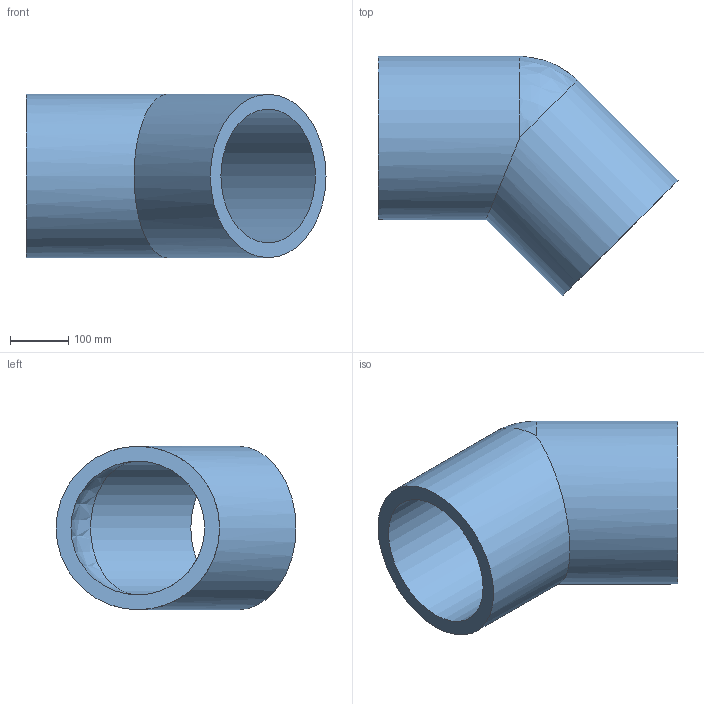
import cadquery as cq
import math

OUTER_DIAMETER = 280.0
DIAMETER_TO_WALL_RATIO = 11.0
LEG_LENGTH = 243.0
BEND_ANGLE = 45.0

outer_radius = OUTER_DIAMETER / 2
wall = OUTER_DIAMETER / DIAMETER_TO_WALL_RATIO
inner_radius = outer_radius - wall

bend = math.radians(BEND_ANGLE)
outlet_direction = cq.Vector(math.cos(bend), -math.sin(bend), 0)
inlet_direction = cq.Vector(-1, 0, 0)
joint = cq.Vector(0, 0, 0)


def leg(radius, direction):
    """Straight round leg running from the joint to its open end."""
    return cq.Workplane(cq.Solid.makeCylinder(radius, LEG_LENGTH, joint, direction))


def joint_wedge(radius):
    """Spherical wedge that closes the gap on the outside of the bend."""
    half_disc = (
        cq.Workplane("YZ")
        .moveTo(0, -radius)
        .threePointArc((radius, 0), (0, radius))
        .close()
    )
    return half_disc.revolve(BEND_ANGLE, (0, 1, 0), (0, -1, 0))


def bent_rod(radius):
    """Solid bent rod: two legs that meet in a crease inside and a sphere outside."""
    legs = leg(radius, inlet_direction).union(leg(radius, outlet_direction))
    return legs.union(joint_wedge(radius))


result = bent_rod(outer_radius).cut(bent_rod(inner_radius))